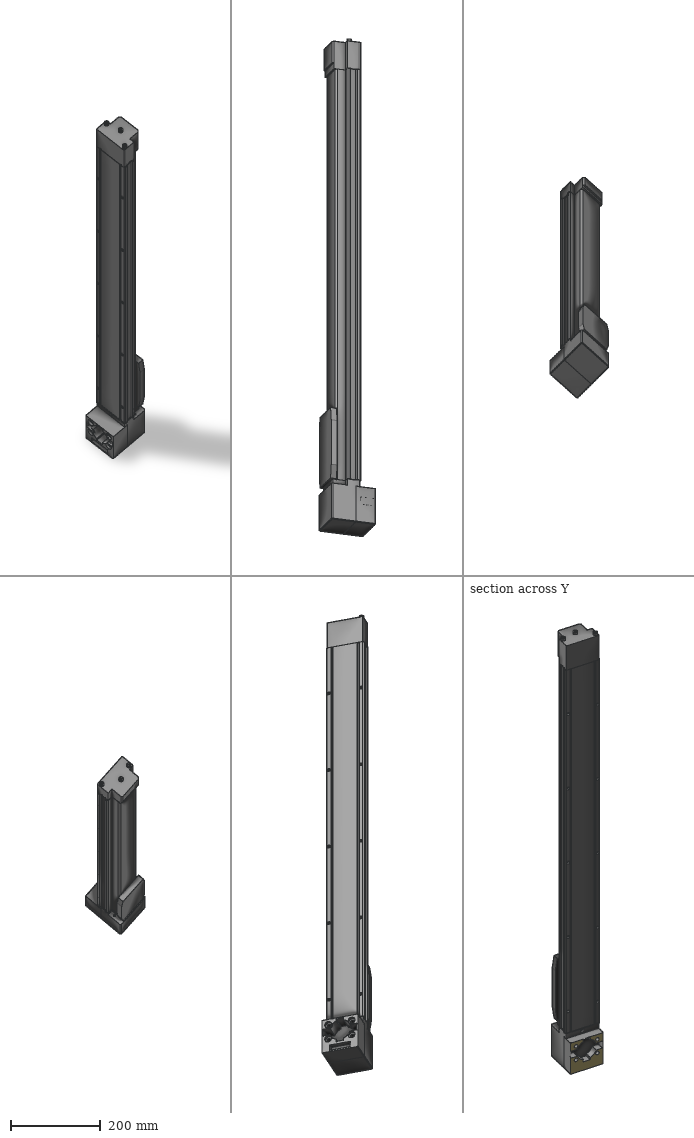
import cadquery as cq

TOTAL_HEIGHT = 1148.0
RAIL_BOTTOM = 100.0
RAIL_TOP = 1076.0

BLOCK_WIDTH = 85.0
NECK_WIDTH = 60.0
SHOULDER_Y = 32.0

RAIL_WIDTH = 90.0
RAIL_BACK_Y = 55.0
RAIL_BACK_CHAMFER = 5.0
FLANGE_CHAMFER = 2.9
SIDE_GROOVE_Y = (11.0, 25.0)
SIDE_GROOVE_DEPTH = 5.0
COVER_WIDTH = 57.0
COVER_GAP = 5.0
COVER_GAP_DEPTH = 3.0
RAIL_HOLE_X = 38.0
RAIL_HOLE_FIRST_Z = 158.0
RAIL_HOLE_PITCH = 200.0
RAIL_HOLE_COUNT = 5
RAIL_HOLE_DIAMETER = 7.0
RAIL_HOLE_DEPTH = 6.0

BOSS_HEIGHT = 6.0
CAP_TOP = TOTAL_HEIGHT - BOSS_HEIGHT
CAP_BACK_Y = 62.0
CAP_STEP_DEPTH = 3.0
CAP_STEP_TOP = 1091.0
CAP_FRONT_BEVEL_X = 0.6
CAP_FRONT_BEVEL_Y = 5.0
BOSS_DIAMETER = 10.0
BOSS_HOLE_DIAMETER = 5.0
BOSS_CENTRES = [(-35.0, 25.0), (0.0, 33.0), (37.0, 8.0)]

CARRIAGE_BACK_Y = 69.0
CARRIAGE_TOP = 267.0
CARRIAGE_WIDTH = 78.0
CARRIAGE_END_WIDTH = 69.0
CARRIAGE_END_LENGTH = 31.0

HOUSING_TOP = 85.0
HOUSING_FRONT_Y = 11.0
HOUSING_BACK_Y = CARRIAGE_BACK_Y
HOUSING_BACK_CHAMFER = 2.0
BOTTOM_CHAMFER = 1.7
FOOT_FRONT_Y = 2.0
FOOT_BACK_Y = 62.0
FOOT_HOLE_Z = (HOUSING_TOP + RAIL_BOTTOM) / 2
FOOT_HOLE_DIAMETER = 9.0
FOOT_HOLE_DEPTH = 7.0
SHELF_HOLE_X = 33.9
SHELF_HOLE_Y = 44.0
SHELF_HOLE_DIAMETER = 5.0
SHELF_HOLE_DEPTH = 6.0

ADAPTER_FRONT_Y = -34.0
ADAPTER_TOP = HOUSING_TOP
BORE_Z = 53.0
BORE_DIAMETER = 50.0
BORE_DEPTH = 34.0
SLOT_WIDTH = 17.0
SLOT_LENGTH_X = 79.0
SLOT_LENGTH_Z = 59.0
SLOT_DEPTH = BORE_DEPTH
SCREW_X = 28.0
SCREW_DZ = 18.0
SCREW_RECESS_DIAMETER = 16.0
SCREW_RECESS_DEPTH = 6.0
SCREW_HOLE_DIAMETER = 8.0
SCREW_HOLE_DEPTH = 34.0
WINDOW_WIDTH = 48.0
WINDOW_Z = (3.0, 17.0)
WINDOW_DEPTH = 11.0


def box(width, y_range, z_range):
    """Box centred on X = 0 between the given Y and Z limits."""
    y0, y1 = y_range
    z0, z1 = z_range
    return cq.Workplane("XY").box(width, y1 - y0, z1 - z0, (True, False, False)).translate((0, y0, z0))


def front_holes(points, diameter, front_y, depth):
    """Cylinders at (x, z) points that run from front_y toward +Y."""
    plane = cq.Workplane("XZ", origin=(0, front_y, 0))
    return plane.pushPoints(points).circle(diameter / 2).extrude(-depth)


def stepped_block(front_y, back_y, z_range):
    """Wide front part with a narrower neck behind the shoulder."""
    base = box(BLOCK_WIDTH, (front_y, SHOULDER_Y), z_range)
    neck = box(NECK_WIDTH, (SHOULDER_Y, back_y), z_range)
    return base.union(neck)


def make_rail():
    half_width = RAIL_WIDTH / 2
    half_neck = NECK_WIDTH / 2
    groove_x = half_width - SIDE_GROOVE_DEPTH
    groove_front, groove_back = SIDE_GROOVE_Y
    half_outline = [
        (half_width - FLANGE_CHAMFER, 0),
        (half_width, FLANGE_CHAMFER),
        (half_width, groove_front - FLANGE_CHAMFER),
        (half_width - FLANGE_CHAMFER, groove_front),
        (groove_x, groove_front),
        (groove_x, groove_back),
        (half_width, groove_back),
        (half_width, SHOULDER_Y - FLANGE_CHAMFER),
        (half_width - FLANGE_CHAMFER, SHOULDER_Y),
        (half_neck, SHOULDER_Y),
        (half_neck, RAIL_BACK_Y - RAIL_BACK_CHAMFER),
        (half_neck - RAIL_BACK_CHAMFER, RAIL_BACK_Y),
    ]
    mirrored = [(-x, y) for x, y in reversed(half_outline)]
    sketch = cq.Workplane("XY", origin=(0, 0, RAIL_BOTTOM)).polyline(half_outline + mirrored).close()
    rail = sketch.extrude(RAIL_TOP - RAIL_BOTTOM)

    gap = box(COVER_GAP, (0, COVER_GAP_DEPTH), (RAIL_BOTTOM, RAIL_TOP))
    gap_x = (COVER_WIDTH + COVER_GAP) / 2
    for side in (-1, 1):
        rail = rail.cut(gap.translate((side * gap_x, 0, 0)))

    hole_points = [
        (side * RAIL_HOLE_X, RAIL_HOLE_FIRST_Z + row * RAIL_HOLE_PITCH)
        for side in (-1, 1)
        for row in range(RAIL_HOLE_COUNT)
    ]
    return rail.cut(front_holes(hole_points, RAIL_HOLE_DIAMETER, 0, RAIL_HOLE_DEPTH))


def make_cap():
    cap = stepped_block(0, CAP_BACK_Y, (RAIL_TOP, CAP_TOP))
    step = box(NECK_WIDTH, (CAP_BACK_Y - CAP_STEP_DEPTH, CAP_BACK_Y), (RAIL_TOP, CAP_STEP_TOP))
    cap = cap.faces(">Y").edges("|Z").chamfer(CAP_STEP_DEPTH).cut(step)

    half_width = BLOCK_WIDTH / 2
    for side in (-1, 1):
        corner = [
            (side * (half_width - CAP_FRONT_BEVEL_X), 0),
            (side * half_width, 0),
            (side * half_width, CAP_FRONT_BEVEL_Y),
        ]
        wedge = cq.Workplane("XY", origin=(0, 0, RAIL_TOP)).polyline(corner).close()
        cap = cap.cut(wedge.extrude(CAP_TOP - RAIL_TOP))

    top = cq.Workplane("XY", origin=(0, 0, CAP_TOP)).pushPoints(BOSS_CENTRES)
    bosses = top.circle(BOSS_DIAMETER / 2).circle(BOSS_HOLE_DIAMETER / 2).extrude(BOSS_HEIGHT)
    return cap.union(bosses)


def make_carriage():
    half_width = CARRIAGE_WIDTH / 2
    half_end = CARRIAGE_END_WIDTH / 2
    middle_bottom = RAIL_BOTTOM + CARRIAGE_END_LENGTH
    middle_top = CARRIAGE_TOP - CARRIAGE_END_LENGTH
    right_side = [
        (half_end, RAIL_BOTTOM),
        (half_width, middle_bottom),
        (half_width, middle_top),
        (half_end, CARRIAGE_TOP),
    ]
    left_side = [(-x, z) for x, z in reversed(right_side)]
    outline = cq.Workplane("XZ", origin=(0, RAIL_BACK_Y, 0)).polyline(right_side + left_side).close()
    return outline.extrude(RAIL_BACK_Y - CARRIAGE_BACK_Y)


def make_housing():
    housing = box(BLOCK_WIDTH, (HOUSING_FRONT_Y, HOUSING_BACK_Y), (0, HOUSING_TOP))
    housing = housing.faces(">Y").edges("|Z").chamfer(HOUSING_BACK_CHAMFER)
    housing = housing.faces("<Z").edges("not <Y").chamfer(BOTTOM_CHAMFER)
    housing = housing.union(stepped_block(FOOT_FRONT_Y, FOOT_BACK_Y, (HOUSING_TOP, RAIL_BOTTOM)))
    foot_hole = front_holes([(0, FOOT_HOLE_Z)], FOOT_HOLE_DIAMETER, FOOT_FRONT_Y, FOOT_HOLE_DEPTH)
    shelf = cq.Workplane("XY", origin=(0, 0, HOUSING_TOP))
    shelf = shelf.pushPoints([(side * SHELF_HOLE_X, SHELF_HOLE_Y) for side in (-1, 1)])
    shelf_holes = shelf.circle(SHELF_HOLE_DIAMETER / 2).extrude(-SHELF_HOLE_DEPTH)
    return housing.cut(foot_hole).cut(shelf_holes)


def make_adapter():
    adapter = box(BLOCK_WIDTH, (ADAPTER_FRONT_Y, HOUSING_FRONT_Y), (0, ADAPTER_TOP))
    adapter = adapter.faces("<Z").edges("|Y").chamfer(BOTTOM_CHAMFER)

    adapter = adapter.cut(front_holes([(0, BORE_Z)], BORE_DIAMETER, ADAPTER_FRONT_Y, BORE_DEPTH))

    slot_y = (ADAPTER_FRONT_Y, ADAPTER_FRONT_Y + SLOT_DEPTH)
    for width, height in [(SLOT_LENGTH_X, SLOT_WIDTH), (SLOT_WIDTH, SLOT_LENGTH_Z)]:
        slot_z = (BORE_Z - height / 2, BORE_Z + height / 2)
        adapter = adapter.cut(box(width, slot_y, slot_z))

    screws = [(sx * SCREW_X, BORE_Z + sz * SCREW_DZ) for sx in (-1, 1) for sz in (-1, 1)]
    adapter = adapter.cut(front_holes(screws, SCREW_RECESS_DIAMETER, ADAPTER_FRONT_Y, SCREW_RECESS_DEPTH))
    adapter = adapter.cut(front_holes(screws, SCREW_HOLE_DIAMETER, ADAPTER_FRONT_Y, SCREW_HOLE_DEPTH))

    window_y = (ADAPTER_FRONT_Y, ADAPTER_FRONT_Y + WINDOW_DEPTH)
    return adapter.cut(box(WINDOW_WIDTH, window_y, WINDOW_Z))


rail = make_rail()
cap = make_cap()
carriage = make_carriage()
housing = make_housing()
adapter = make_adapter()

result = cq.Compound.makeCompound(
    [rail.val(), cap.val(), carriage.val(), housing.val(), adapter.val()]
)